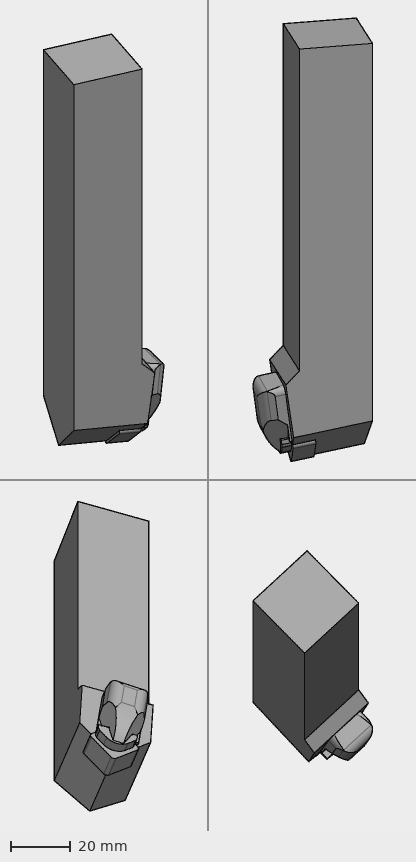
import cadquery as cq
import math

SHANK_SIDE = 25.0
TOTAL_LENGTH = 151.2
HEAD_TOP = 32.0

RAKE_TILT = 8.0
TIP_Y = 25.1
HEAD_TIP_LIFT = 0.8

INSERT_SIDE = 12.7
INSERT_THICKNESS = 7.9
INSERT_CORNER_RADIUS = 1.2

CLAMP_TURN = 4.0
CLAMP_WIDTH = 14.8
CLAMP_HEIGHT = 8.9
CLAMP_END = 31.0
CLAMP_CORNER_RADIUS = 2.5
CLAMP_END_DRAFT = 5.0
CLAMP_END_ROUNDING = 3.3
CLAMP_WALL = 3.6
CLAMP_SIDE_DRAFT = 20.0
CLAMP_EDGE_RADIUS = 4.5
CLAMP_BASE = 0.8
NOSE_CURVE_START = 18.5
NOSE_END = 5.0
FACET_START = 17.1
FACET_ANGLE = 21.0
FACET_LEAN = 18.0

BREAKER_THICKNESS = 3.3
BREAKER_POINT = 1.8
BREAKER_HALF_WIDTH = 6.8
BREAKER_TOP = 10.9
BREAKER_NOSE_RADIUS = 5.3
BREAKER_CORNER_INSET = 0.5
BREAKER_CORNER_HEIGHT = 1.2


def place(body):
    """Move a body from the tool tip frame to its final place."""
    return body.rotate((0, 0, 0), (1, 0, 0), -RAKE_TILT).translate((0, TIP_Y, 0))


def prism(outline, bottom, top):
    """Prism over an x-z outline, between two heights above the rake face."""
    plane = cq.Workplane("XZ", origin=(0, bottom, 0))
    return plane.polyline(outline).close().extrude(bottom - top)


def make_insert():
    """Square insert standing on one corner, its rake face flush with the head."""
    half_diagonal = INSERT_SIDE / math.sqrt(2)
    corner_loss = INSERT_CORNER_RADIUS * (math.sqrt(2) - 1)
    middle = half_diagonal - corner_loss
    outline = [
        (0, middle - half_diagonal),
        (half_diagonal, middle),
        (0, middle + half_diagonal),
        (-half_diagonal, middle),
    ]
    square = prism(outline, -INSERT_THICKNESS, 0)
    return place(square.edges("|Y").fillet(INSERT_CORNER_RADIUS))


def make_shank_and_head():
    """Square bar with a shouldered head, a tilted rake face and two 45 degree flanks."""
    half = SHANK_SIDE / 2
    lean = math.tan(math.radians(RAKE_TILT))
    head_depth = TIP_Y + HEAD_TOP * lean
    profile = [
        (0, 0),
        (0, TOTAL_LENGTH),
        (SHANK_SIDE, TOTAL_LENGTH),
        (SHANK_SIDE, HEAD_TOP + head_depth - SHANK_SIDE),
        (head_depth, HEAD_TOP),
        (TIP_Y, 0),
    ]
    bar = cq.Workplane("YZ").polyline(profile).close().extrude(half, both=True)
    reach = 2 * TOTAL_LENGTH
    point = [(0, HEAD_TIP_LIFT), (reach, HEAD_TIP_LIFT + reach), (-reach, HEAD_TIP_LIFT + reach)]
    return bar.intersect(place(prism(point, -reach, reach)))


def make_clamp_block():
    """Clamp without nose facets: what its side, end and plan shapes have in common."""
    half = CLAMP_WIDTH / 2
    end_setback = CLAMP_HEIGHT * math.tan(math.radians(CLAMP_END_DRAFT))
    side_shape = (
        cq.Workplane("YZ")
        .moveTo(0, CLAMP_END)
        .lineTo(CLAMP_HEIGHT, CLAMP_END - end_setback)
        .lineTo(CLAMP_HEIGHT, NOSE_CURVE_START)
        .tangentArcPoint((BREAKER_THICKNESS, NOSE_END), relative=False)
        .lineTo(0, NOSE_END)
        .close()
        .extrude(CLAMP_WIDTH, both=True)
        .edges("|X").edges(">Y").edges(">Z")
        .fillet(CLAMP_END_ROUNDING)
    )
    side_setback = (CLAMP_HEIGHT - CLAMP_WALL) * math.tan(math.radians(CLAMP_SIDE_DRAFT))
    end_shape = (
        cq.Workplane("XY")
        .polyline([
            (-half, 0),
            (-half, CLAMP_WALL),
            (-half + side_setback, CLAMP_HEIGHT),
            (half - side_setback, CLAMP_HEIGHT),
            (half, CLAMP_WALL),
            (half, 0),
        ])
        .close()
        .extrude(CLAMP_END)
        .edges("|Z").edges(">Y")
        .fillet(CLAMP_EDGE_RADIUS)
    )
    plan = prism([(-half, 0), (-half, CLAMP_END), (half, CLAMP_END), (half, 0)], 0, CLAMP_HEIGHT)
    plan = plan.edges("|Y").edges(">Z").fillet(CLAMP_CORNER_RADIUS)
    return side_shape.intersect(end_shape).intersect(plan)


def above_facet(side):
    """Space cut away beyond the leaning nose facet on one side (-1 or 1)."""
    angle = math.radians(FACET_ANGLE)
    lean = math.radians(FACET_LEAN)
    outward = (
        side * math.cos(angle) * math.cos(lean),
        math.sin(lean),
        -math.sin(angle) * math.cos(lean),
    )
    along = (side * math.sin(angle), 0, math.cos(angle))
    start = (side * CLAMP_WIDTH / 2, CLAMP_BASE, FACET_START)
    reach = 4 * CLAMP_END
    return cq.Workplane(cq.Plane(start, along, outward)).rect(reach, reach).extrude(reach)


def make_breaker():
    """Plate pressed on the insert by the clamp nose."""
    half = BREAKER_HALF_WIDTH
    inner = half - BREAKER_CORNER_INSET
    shoulder = BREAKER_POINT + inner
    right_side = [(inner, shoulder), (half, shoulder + BREAKER_CORNER_HEIGHT), (half, BREAKER_TOP)]
    left_side = [(-x, z) for x, z in reversed(right_side)]
    outline = [(0, BREAKER_POINT), *right_side, *left_side]
    plate = prism(outline, 0, BREAKER_THICKNESS)
    return plate.edges("|Y").edges("<Z").fillet(BREAKER_NOSE_RADIUS)


def slab(bottom, top, lowest, highest):
    """Wide slab between two heights above the rake face and two z positions."""
    wide = 2 * CLAMP_WIDTH
    return prism([(-wide, lowest), (wide, lowest), (wide, highest), (-wide, highest)], bottom, top)


def make_clamp():
    """Clamp block with two nose facets, its nose raised on the chip breaker."""
    block = make_clamp_block()
    base = block.intersect(slab(0, CLAMP_BASE, BREAKER_TOP, CLAMP_END))
    upper = block.intersect(slab(CLAMP_BASE, CLAMP_HEIGHT, 0, CLAMP_END))
    upper = upper.cut(slab(CLAMP_BASE, BREAKER_THICKNESS, 0, BREAKER_TOP))
    for side in (-1, 1):
        upper = upper.cut(above_facet(side))
    clamp = upper.union(base).rotate((0, 0, 0), (0, 1, 0), -CLAMP_TURN)
    return place(clamp.union(make_breaker()))


insert = make_insert()
holder = make_shank_and_head().cut(insert).union(make_clamp())
result = cq.Compound.makeCompound([holder.val(), insert.val()])